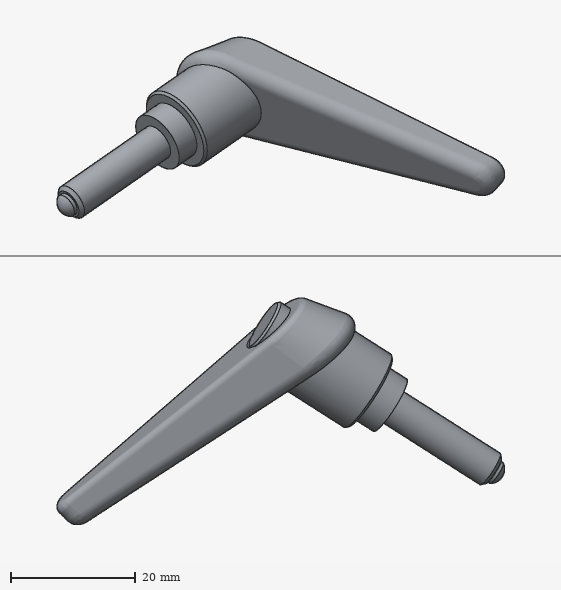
import cadquery as cq
import math


hub_radius = 7.0
hub_height = 13.6
hub_chamfer = 0.4

draft_angle = 12.0
arm_base_y = 2.85
arm_top_y = 34.05
arm_big_radius = 10.15
arm_tip_radius = 8.45
arm_length = 41.95
underside_angle = 20.0
underside_y = 10.0
topside_angle = 15.0
topside_y = 19.55
underside_fillet = 2.0
topside_fillet = 1.25
trim_margin = 17.05

head_radius = 4.5
head_top_y = 20.55
head_chamfer = 0.4
collar_radius = 5.0
collar_length = 4.0
stud_radius = 3.0
stud_length = 20.0
stud_chamfer = 0.6
nose_radius = 2.0
nose_length = 1.7
nose_dome_height = 1.1


def cylinder_y(radius, start_y, end_y):
    """Cylinder about the Y axis between two heights."""
    base = cq.Workplane("XZ", origin=(0, start_y, 0))
    return base.circle(radius).extrude(start_y - end_y)


def drafted_teardrop():
    """Two circles joined by their outer tangents, drafted inwards toward +Y."""
    tangent_sin = (arm_big_radius - arm_tip_radius) / arm_length
    tangent_cos = math.sqrt(1 - tangent_sin**2)
    big_x = arm_big_radius * tangent_sin
    big_z = arm_big_radius * tangent_cos
    tip_x = arm_length + arm_tip_radius * tangent_sin
    tip_z = arm_tip_radius * tangent_cos
    base = cq.Workplane("ZX", origin=(0, arm_base_y, 0))
    return (
        base.moveTo(big_z, big_x)
        .lineTo(tip_z, tip_x)
        .threePointArc((0, arm_length + arm_tip_radius), (-tip_z, tip_x))
        .lineTo(-big_z, big_x)
        .threePointArc((0, -arm_big_radius), (big_z, big_x))
        .close()
        .extrude(arm_top_y - arm_base_y, taper=draft_angle)
    )


def trimming_wedge():
    """Slab between the underside and the top face of the arm."""
    near_x = -trim_margin
    far_x = arm_length + trim_margin
    underside_slope = math.tan(math.radians(underside_angle))
    topside_slope = math.tan(math.radians(topside_angle))
    profile = [
        (near_x, underside_y + underside_slope * near_x),
        (far_x, underside_y + underside_slope * far_x),
        (far_x, topside_y + topside_slope * far_x),
        (near_x, topside_y + topside_slope * near_x),
    ]
    return cq.Workplane("XY").polyline(profile).close().extrude(arm_big_radius + trim_margin, both=True)


def square_to(angle):
    """Selector for the flat face whose normal is the Y axis tilted by an angle."""
    tilt = math.radians(angle)
    normal = cq.Vector(-math.sin(tilt), math.cos(tilt), 0)
    return cq.selectors.ParallelDirSelector(normal)


def make_arm():
    """Trimmed teardrop with both rims rounded."""
    arm = drafted_teardrop().intersect(trimming_wedge())
    arm = arm.faces(square_to(underside_angle)).edges().fillet(underside_fillet)
    return arm.faces(square_to(topside_angle)).edges().fillet(topside_fillet)


def make_handle():
    """Lever arm and hub, bored for the insert."""
    hub = cylinder_y(hub_radius, 0, hub_height).faces("<Y").chamfer(hub_chamfer)
    bore = cylinder_y(head_radius, 0, arm_top_y)
    return make_arm().union(hub).cut(bore)


def make_insert():
    """Turned insert: head in the bore, collar below the hub, stud and domed nose."""
    collar_end = -collar_length
    stud_end = collar_end - stud_length
    nose_end = stud_end - nose_length
    dome_start = nose_end + nose_dome_height
    dome_radius = (nose_radius**2 + nose_dome_height**2) / (2 * nose_dome_height)
    half_dome_angle = math.asin(nose_radius / dome_radius) / 2
    dome_mid = (
        dome_radius * math.sin(half_dome_angle),
        nose_end + dome_radius * (1 - math.cos(half_dome_angle)),
    )
    return (
        cq.Workplane("XY")
        .moveTo(0, head_top_y)
        .lineTo(head_radius - head_chamfer, head_top_y)
        .lineTo(head_radius, head_top_y - head_chamfer)
        .lineTo(head_radius, 0)
        .lineTo(collar_radius, 0)
        .lineTo(collar_radius, collar_end)
        .lineTo(stud_radius, collar_end)
        .lineTo(stud_radius, stud_end + stud_chamfer)
        .lineTo(stud_radius - stud_chamfer, stud_end)
        .lineTo(nose_radius, stud_end)
        .lineTo(nose_radius, dome_start)
        .threePointArc(dome_mid, (0, nose_end))
        .close()
        .revolve(360, (0, 0, 0), (0, 1, 0))
    )


handle = make_handle()
insert = make_insert()
result = cq.Compound.makeCompound([handle.val(), insert.val()])